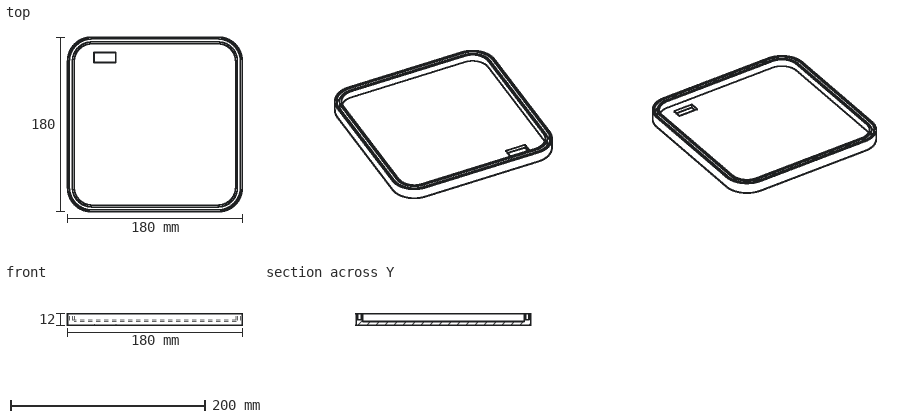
import cadquery as cq

side = 180.0
height = 12.0
corner_radius = 25.0
floor_thickness = 4.0

wall = 2.0
groove_width = 3.0
groove_depth = 6.1

window_length = 22.0
window_width = 10.0
window_from_left = 27.5
window_from_back = 16.0

groove_outer_inset = wall
groove_inner_inset = groove_outer_inset + groove_width
cavity_inset = groove_inner_inset + wall


def rounded_block(inset, bottom):
    """Rounded square from bottom to the rim, inset with concentric corners."""
    block_side = side - 2 * inset
    block = (
        cq.Workplane("XY")
        .workplane(offset=bottom)
        .rect(block_side, block_side)
        .extrude(height - bottom)
    )
    return block.edges("|Z").fillet(corner_radius - inset)


body = rounded_block(0, 0).cut(rounded_block(cavity_inset, floor_thickness))

groove_floor = height - groove_depth
groove = rounded_block(groove_outer_inset, groove_floor).cut(
    rounded_block(groove_inner_inset, groove_floor)
)
body = body.cut(groove)

window_x = -side / 2 + window_from_left + window_length / 2
window_y = side / 2 - window_from_back - window_width / 2
window = (
    cq.Workplane("XY")
    .center(window_x, window_y)
    .rect(window_length, window_width)
    .extrude(floor_thickness)
)

result = body.cut(window)